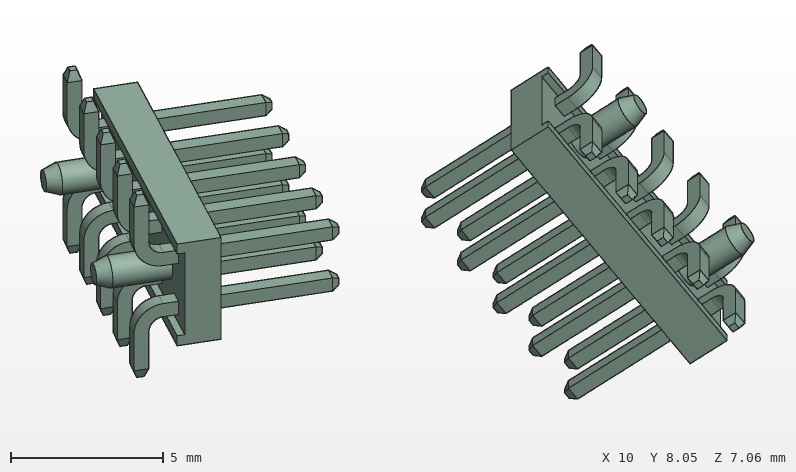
import cadquery as cq
import math

housing_length = 10.0
housing_height = 3.94
housing_depth = 1.5
rim_depth = 0.26
rim_height = 0.39
housing_back = housing_depth / 2
rim_front = -housing_depth / 2
floor_front = rim_front + rim_depth

contact_pitch = 2.0
contacts_per_row = 5
row_offset = 0.99
wire_width = 0.51
bend_inner_radius = 0.49
bend_outer_radius = bend_inner_radius + wire_width
back_reach = 4.27
front_reach = 1.26
contact_back = housing_back + back_reach
leg_front = rim_front - front_reach
leg_end = 3.53
back_taper = 0.25
leg_taper = 0.36
tip_width = 0.25

peg_diameter = 1.09
peg_tip_diameter = 0.72
peg_length = 2.54
peg_cone_length = 0.5
peg_spacing = 3 * contact_pitch


def make_block():
    """C-shaped bar: plain back and a recessed front between the two rims."""
    block = cq.Workplane("XY").box(housing_length, housing_depth, housing_height)
    recess = cq.Workplane("XY").box(housing_length, rim_depth, housing_height - 2 * rim_height)
    return block.cut(recess.translate((0, rim_front + rim_depth / 2, 0)))


def tapered_tip(base_plane, length):
    """Four-sided tip that narrows from the wire section along the plane normal."""
    return (
        cq.Workplane(base_plane)
        .rect(wire_width, wire_width)
        .workplane(offset=length)
        .rect(tip_width, tip_width)
        .loft()
    )


def make_upper_contact():
    """Right-angle contact at X = 0 with its leg pointing up."""
    wire_bottom = row_offset - wire_width / 2
    wire_top = row_offset + wire_width / 2
    leg_back = leg_front + wire_width
    bend_y = leg_front + bend_outer_radius
    bend_z = wire_bottom + bend_outer_radius
    outer_reach = bend_outer_radius * math.cos(math.pi / 4)
    inner_reach = bend_inner_radius * math.cos(math.pi / 4)
    straight_back = contact_back - back_taper
    straight_top = leg_end - leg_taper

    wire = (
        cq.Workplane("YZ")
        .moveTo(straight_back, wire_bottom)
        .lineTo(bend_y, wire_bottom)
        .threePointArc((bend_y - outer_reach, bend_z - outer_reach), (leg_front, bend_z))
        .lineTo(leg_front, straight_top)
        .lineTo(leg_back, straight_top)
        .lineTo(leg_back, bend_z)
        .threePointArc((bend_y - inner_reach, bend_z - inner_reach), (bend_y, wire_top))
        .lineTo(straight_back, wire_top)
        .close()
        .extrude(wire_width / 2, both=True)
    )
    back_plane = cq.Plane(origin=(0, straight_back, row_offset), xDir=(1, 0, 0), normal=(0, 1, 0))
    leg_centre = leg_front + wire_width / 2
    leg_plane = cq.Plane(origin=(0, leg_centre, straight_top), xDir=(1, 0, 0), normal=(0, 0, 1))
    return wire.union(tapered_tip(back_plane, back_taper)).union(tapered_tip(leg_plane, leg_taper))


def make_housing():
    """Block with both rows of contacts moulded in as one body."""
    housing = make_block()
    upper_contact = make_upper_contact()
    lower_contact = upper_contact.mirror("XY")
    for index in range(contacts_per_row):
        x = (index - (contacts_per_row - 1) / 2) * contact_pitch
        housing = housing.union(upper_contact.translate((x, 0, 0)))
        housing = housing.union(lower_contact.translate((x, 0, 0)))
    return housing.solids()


def make_peg(x):
    """Locating peg that stands on the recessed floor and points towards -Y."""
    return (
        cq.Workplane("XY")
        .lineTo(peg_diameter / 2, 0)
        .lineTo(peg_diameter / 2, -(peg_length - peg_cone_length))
        .lineTo(peg_tip_diameter / 2, -peg_length)
        .lineTo(0, -peg_length)
        .close()
        .revolve(360, (0, 0, 0), (0, 1, 0))
        .translate((x, floor_front, 0))
    )


housing = make_housing()
pegs = [make_peg(side * peg_spacing / 2) for side in (-1, 1)]

result = cq.Compound.makeCompound([housing.val(), *[peg.val() for peg in pegs]])